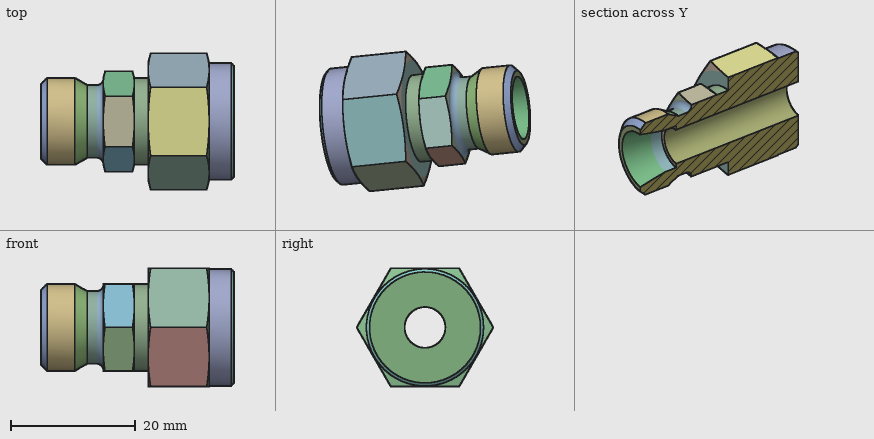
import cadquery as cq
import math


tube_end_chamfer = 1.0
undercut_cone_start = 5.45
undercut_length = 1.55
small_hex_start = 10.0
small_hex_end = 15.0
large_hex_start = 17.2
large_hex_end = 27.0
total_length = 31.0

body_radius = 7.0
undercut_radius = 5.85
undercut_cone_angle = 30.0
collar_radius = 9.4
collar_chamfer = 0.5
hex_sides = 6
small_hex_flats = 14.0
large_hex_flats = 19.0
hex_chamfer_angle = 15.0
small_hex_face_radius = 6.95
large_hex_face_radius = 9.45

bore_radius = 3.25
tube_socket_radius = 4.0
cone_mouth_radius = 5.05
cone_half_angle = 12.0
tube_socket_depth = 7.0


def tangent(angle):
    return math.tan(math.radians(angle))


def turned_body():
    """Revolved outside: chamfered tube end, undercut with fillet, shank and rear collar."""
    undercut_start = undercut_cone_start + (body_radius - undercut_radius) / tangent(undercut_cone_angle)
    fillet_start = undercut_start + undercut_length
    fillet_radius = small_hex_start - fillet_start
    arc_offset = fillet_radius * math.sqrt(0.5)
    fillet_middle = (
        fillet_start + arc_offset,
        undercut_radius + fillet_radius - arc_offset,
    )
    return (
        cq.Workplane("XY")
        .moveTo(0, 0)
        .lineTo(0, body_radius - tube_end_chamfer)
        .lineTo(tube_end_chamfer, body_radius)
        .lineTo(undercut_cone_start, body_radius)
        .lineTo(undercut_start, undercut_radius)
        .lineTo(fillet_start, undercut_radius)
        .threePointArc(fillet_middle, (small_hex_start, undercut_radius + fillet_radius))
        .lineTo(small_hex_start, small_hex_face_radius)
        .lineTo(small_hex_end, body_radius)
        .lineTo(large_hex_start, body_radius)
        .lineTo(large_hex_start, collar_radius)
        .lineTo(total_length - collar_chamfer, collar_radius)
        .lineTo(total_length, collar_radius - collar_chamfer)
        .lineTo(total_length, 0)
        .close()
        .revolve(360, (0, 0, 0), (1, 0, 0))
    )


def chamfered_hexagon(start, end, across_flats, face_radius):
    """Hexagon with corners on +Y and -Y, its corners turned off conically at both ends."""
    across_corners = across_flats / math.cos(math.pi / hex_sides)
    prism = (
        cq.Workplane("YZ", origin=(start, 0, 0))
        .polygon(hex_sides, across_corners)
        .extrude(end - start)
    )
    corner_radius = across_corners / 2
    chamfer_length = (corner_radius - face_radius) * tangent(hex_chamfer_angle)
    envelope = (
        cq.Workplane("XY")
        .moveTo(start, 0)
        .lineTo(start, face_radius)
        .lineTo(start + chamfer_length, corner_radius)
        .lineTo(end - chamfer_length, corner_radius)
        .lineTo(end, face_radius)
        .lineTo(end, 0)
        .close()
        .revolve(360, (0, 0, 0), (1, 0, 0))
    )
    return prism.intersect(envelope)


def bore():
    """Through hole opening into a cylindrical tube socket and the sealing cone."""
    cone_depth = (cone_mouth_radius - tube_socket_radius) / tangent(cone_half_angle)
    return (
        cq.Workplane("XY")
        .moveTo(0, 0)
        .lineTo(0, cone_mouth_radius)
        .lineTo(cone_depth, tube_socket_radius)
        .lineTo(tube_socket_depth, tube_socket_radius)
        .lineTo(tube_socket_depth, bore_radius)
        .lineTo(total_length, bore_radius)
        .lineTo(total_length, 0)
        .close()
        .revolve(360, (0, 0, 0), (1, 0, 0))
    )


small_hexagon = chamfered_hexagon(
    small_hex_start, small_hex_end, small_hex_flats, small_hex_face_radius
)
large_hexagon = chamfered_hexagon(
    large_hex_start, large_hex_end, large_hex_flats, large_hex_face_radius
)
result = turned_body().union(small_hexagon).union(large_hexagon).cut(bore())